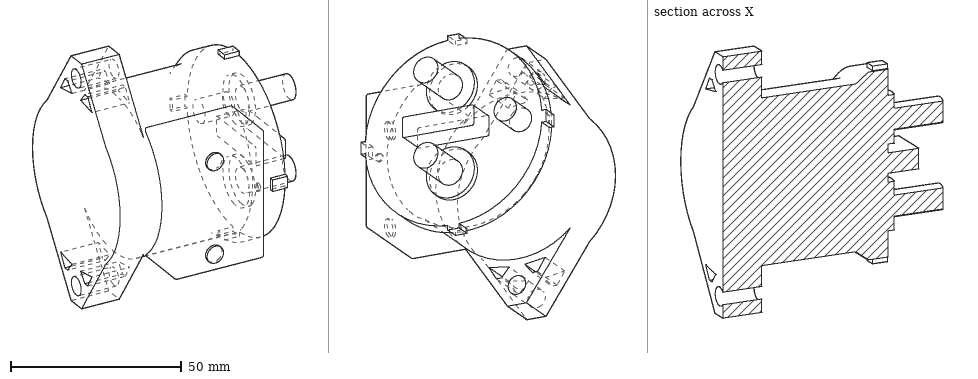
import cadquery as cq
import math


body_radius = 26.05
disc_radius = 29.1
cone_start_y = 43.4
cone_end_y = 47.6
disc_end_y = 54.0
cone_blend_radius = 0.8

ear_tip_z = 40.3
ear_tip_half_width = 3.15
ear_root_x = 17.5
ear_thickness = 12.75
ear_hole_diameter = 5.8
ear_hole_z = 34.2

window_inner_x = 2.6
window_inner_z = 28.15
window_outer_x = 9.3
window_outer_z = 27.1
window_top_inner_x = 5.1
window_top_outer_x = 6.8
window_top_z = 31.1

tab_reach = 30.5
tab_width = 3.8
tab_length = 5.0

box_end_x = 34.0
box_height = 42.1
box_start_y = 14.1
box_end_y = 44.35
box_edge_radius = 1.0

button_diameter = 5.6
button_height = 0.9
button_y = 27.1
button_z = 15.25
stud_diameter = 2.4
stud_height = 0.7
stud_x = 29.1

rod_diameter = 8.0
rod_z = 13.4
rod_end_y = 72.0
collar_diameter = 15.8
collar_height = 2.0
pin_diameter = 7.3
pin_x = -22.1
pin_end_y = 64.0
block_width = 23.55
block_height = 6.45
block_edge_radius = 0.65


def cylinder_y(diameter, x, z, start_y, end_y):
    """Cylinder parallel to Y between two Y positions."""
    base = cq.Vector(x, start_y, z)
    return cq.Workplane(cq.Solid.makeCylinder(diameter / 2, end_y - start_y, base, cq.Vector(0, 1, 0)))


def extrude_y(sketch, length):
    """Extrude a sketch drawn on XZ from the mounting face toward +Y."""
    return sketch.extrude(-length)


def make_body():
    """Revolved body, flaring through a blended cone into the end disc."""
    profile = [
        (0, 0),
        (body_radius, 0),
        (body_radius, cone_start_y),
        (disc_radius, cone_end_y),
        (disc_radius, disc_end_y),
        (0, disc_end_y),
    ]
    body = cq.Workplane("XY").polyline(profile).close().revolve(360, (0, 0, 0), (0, 1, 0))
    return body.faces("%CONE").edges("%CIRCLE").fillet(cone_blend_radius)


def make_ears():
    """Plate with both tapered ears, meeting the body circle at the ear roots."""
    root_z = math.sqrt(body_radius**2 - ear_root_x**2)
    outline = [
        (-ear_root_x, -root_z),
        (-ear_tip_half_width, -ear_tip_z),
        (ear_tip_half_width, -ear_tip_z),
        (ear_root_x, -root_z),
        (ear_root_x, root_z),
        (ear_tip_half_width, ear_tip_z),
        (-ear_tip_half_width, ear_tip_z),
        (-ear_root_x, root_z),
    ]
    return extrude_y(cq.Workplane("XZ").polyline(outline).close(), ear_thickness)


def make_window(side_x, side_z):
    """Four-sided window through an ear, placed in the quadrant of the given signs."""
    corners = [
        (window_inner_x, window_inner_z),
        (window_outer_x, window_outer_z),
        (window_top_outer_x, window_top_z),
        (window_top_inner_x, window_top_z),
    ]
    outline = [(side_x * x, side_z * z) for x, z in corners]
    return extrude_y(cq.Workplane("XZ").polyline(outline).close(), ear_thickness)


def make_tabs():
    """Crossed bars whose ends stand out of the disc as four tabs."""
    bar = cq.Workplane("XY").box(2 * tab_reach, tab_length, tab_width)
    bar = bar.translate((0, disc_end_y - tab_length / 2, 0))
    return bar.union(bar.rotate((0, 0, 0), (0, 1, 0), 90))


def make_terminal_box():
    """Terminal box with rounded edges, two side buttons and a stud."""
    length = box_end_y - box_start_y
    box = (
        cq.Workplane("XY")
        .box(box_end_x, length, box_height)
        .translate((box_end_x / 2, (box_start_y + box_end_y) / 2, 0))
        .edges("not <X")
        .fillet(box_edge_radius)
    )
    buttons = (
        cq.Workplane("YZ", origin=(box_end_x - button_height, 0, 0))
        .pushPoints([(button_y, -button_z), (button_y, button_z)])
        .circle(button_diameter / 2)
        .extrude(2 * button_height)
    )
    stud = cylinder_y(stud_diameter, stud_x, 0, box_end_y - stud_height, box_end_y + stud_height)
    return box.union(buttons).union(stud)


def make_terminals():
    """Two collared rods, a plain pin and a flat block on the end disc."""
    block = (
        cq.Workplane("XZ", origin=(0, disc_end_y, 0))
        .rect(block_width, block_height)
        .extrude(disc_end_y - pin_end_y)
        .edges("|Y")
        .fillet(block_edge_radius)
    )
    terminals = block.union(cylinder_y(pin_diameter, pin_x, 0, disc_end_y, pin_end_y))
    collar_end_y = disc_end_y + collar_height
    for z in (-rod_z, rod_z):
        terminals = terminals.union(cylinder_y(rod_diameter, 0, z, disc_end_y, rod_end_y))
        terminals = terminals.union(cylinder_y(collar_diameter, 0, z, disc_end_y, collar_end_y))
    return terminals


result = make_body().union(make_ears())
for side_z in (-1, 1):
    result = result.cut(cylinder_y(ear_hole_diameter, 0, side_z * ear_hole_z, 0, ear_thickness))
    for side_x in (-1, 1):
        result = result.cut(make_window(side_x, side_z))
result = result.union(make_tabs()).union(make_terminal_box()).union(make_terminals())